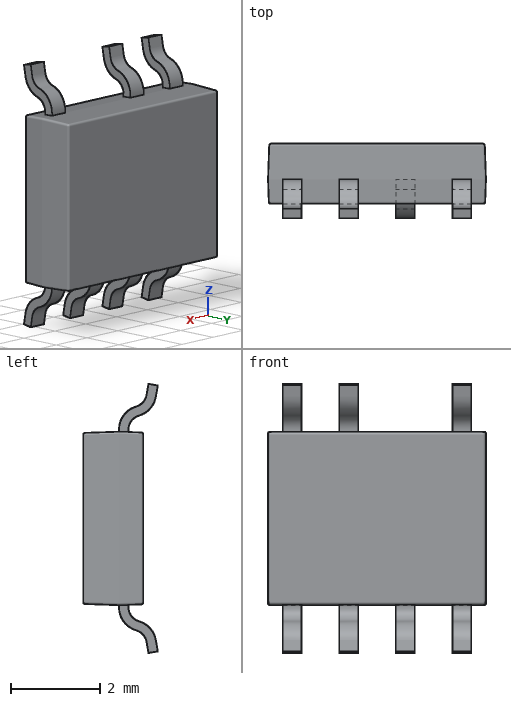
import cadquery as cq
import math

body_width = 4.9
body_height = 3.9
front_depth = 0.55
back_depth = 0.805
draft_angle = 2.0
edge_radius = 0.055

span = 6.05
lead_width = 0.43
lead_thickness = 0.22
lead_pitch = 1.27
lead_embed = 0.3
shoulder_length = 0.04
inner_radius = 0.325
bend_angle = 73.5
foot_angle = 10.0
bottom_slots = (-1.5, -0.5, 0.5, 1.5)
top_slots = (-1.5, -0.5, 1.5)

outer_radius = inner_radius + lead_thickness
lead_root = body_height / 2 - lead_embed
bend_start = body_height / 2 + shoulder_length


def on_circle(center, radius, angle):
    """Point (y, z) on a circle, with the angle in degrees from +Y towards +Z."""
    y, z = center
    turn = math.radians(angle)
    return (y + radius * math.cos(turn), z + radius * math.sin(turn))


def make_body():
    """Two drafted halves meeting at the parting plane, rounded on all other edges."""
    front_half = (
        cq.Workplane("XZ").rect(body_width, body_height).extrude(front_depth, taper=draft_angle)
    )
    back_half = (
        cq.Workplane("XZ").rect(body_width, body_height).extrude(-back_depth, taper=draft_angle)
    )
    front_half = front_half.edges("not(>Y)").fillet(edge_radius)
    back_half = back_half.edges("not(<Y)").fillet(edge_radius)
    return front_half.union(back_half)


def make_upper_lead():
    """Lead at X = 0 leaving the upper side: shoulder, forward bend, reverse bend, foot."""
    first_center = (-outer_radius, bend_start)
    second_center = on_circle(first_center, inner_radius + outer_radius, bend_angle)

    def first_bend(radius, angle):
        return on_circle(first_center, radius, angle)

    def second_bend(radius, angle):
        return on_circle(second_center, radius, angle + 180)

    middle_first = bend_angle / 2
    middle_second = (bend_angle + foot_angle) / 2

    foot_start = second_bend(inner_radius, foot_angle)
    foot_rise = span / 2 - foot_start[1]
    slope = math.radians(foot_angle)
    back_tip = (foot_start[0] - foot_rise * math.tan(slope), span / 2)
    front_tip = on_circle(back_tip, lead_thickness, foot_angle + 180)

    profile = (
        cq.Workplane("YZ")
        .moveTo(0, lead_root)
        .lineTo(0, bend_start)
        .threePointArc(first_bend(outer_radius, middle_first), first_bend(outer_radius, bend_angle))
        .threePointArc(second_bend(inner_radius, middle_second), foot_start)
        .lineTo(*back_tip)
        .lineTo(*front_tip)
        .lineTo(*second_bend(outer_radius, foot_angle))
        .threePointArc(second_bend(outer_radius, middle_second), second_bend(outer_radius, bend_angle))
        .threePointArc(first_bend(inner_radius, middle_first), first_bend(inner_radius, 0))
        .lineTo(-lead_thickness, lead_root)
        .close()
    )
    return profile.extrude(lead_width / 2, both=True)


upper_lead = make_upper_lead()
lower_lead = upper_lead.mirror("XY")

result = make_body()
for lead, slots in ((upper_lead, top_slots), (lower_lead, bottom_slots)):
    for slot in slots:
        result = result.union(lead.translate((slot * lead_pitch, 0, 0)))